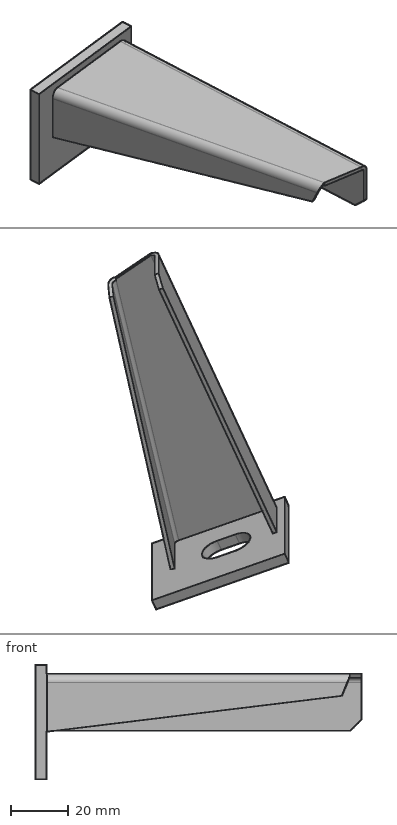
import cadquery as cq
import math

PLATE_THICKNESS = 4.0
PLATE_WIDTH = 50.0
PLATE_HEIGHT = 40.0
SLOT_LENGTH = 18.2
SLOT_HEIGHT = 11.4
SLOT_OFFSET_Y = 3.0

ARM_END_X = 114.0
SHEET = 1.5
BEND_RADIUS = 3.0
TOP_INSET = 3.1
TOP_Z = PLATE_HEIGHT / 2 - TOP_INSET
BACK_INSET = 3.0
BACK_Y = PLATE_WIDTH / 2 - BACK_INSET
BACK_FLANGE_HEIGHT = 20.0
BACK_CHAMFER = 4.0
ROOT_WIDTH = 40.0
TAPER_ANGLE = 10.25
WEB_TIP_X = 109.8
TAPER_ROOT_HEIGHT = 20.3
TAPER_TIP_HEIGHT = 7.8
TAPER_TIP_SETBACK = 3.2

TAPER = math.radians(TAPER_ANGLE)
FRONT_Y = BACK_Y - ROOT_WIDTH

ALONG = cq.Vector(math.cos(TAPER), math.sin(TAPER), 0)
INWARD = cq.Vector(-math.sin(TAPER), math.cos(TAPER), 0)
TAPER_ORIGIN = cq.Vector(PLATE_THICKNESS, FRONT_Y, TOP_Z) + ALONG * (SHEET * math.tan(TAPER))
TAPER_START = cq.Plane(origin=TAPER_ORIGIN, xDir=INWARD, normal=ALONG)
TAPER_FACE = cq.Plane(origin=TAPER_ORIGIN, xDir=ALONG, normal=INWARD * -1)


def make_plate():
    """Rectangular plate with a horizontal through slot."""
    plate = cq.Workplane("YZ").rect(PLATE_WIDTH, PLATE_HEIGHT).extrude(PLATE_THICKNESS)
    slot = (
        cq.Workplane("YZ")
        .center(SLOT_OFFSET_Y, 0)
        .slot2D(SLOT_LENGTH, SLOT_HEIGHT)
        .extrude(PLATE_THICKNESS)
    )
    return plate.cut(slot)


def bent_flange(plane, height, length):
    """Flange with its bend: outer face on local x = 0, sheet top on local y = 0, local x inward."""
    inner_radius = BEND_RADIUS - SHEET
    outer_mid = BEND_RADIUS * (1 - math.sqrt(0.5))
    inner_mid = BEND_RADIUS - inner_radius * math.sqrt(0.5)
    return (
        cq.Workplane(plane)
        .moveTo(0, -height)
        .lineTo(0, -BEND_RADIUS)
        .threePointArc((outer_mid, -outer_mid), (BEND_RADIUS, 0))
        .lineTo(BEND_RADIUS, -SHEET)
        .threePointArc((inner_mid, -inner_mid), (SHEET, -BEND_RADIUS))
        .lineTo(SHEET, -height)
        .close()
        .extrude(length)
    )


def web_front_y(x):
    """Y of the line where the web runs into the bend of the tapered flange."""
    return FRONT_Y + (x - PLATE_THICKNESS) * math.tan(TAPER) + BEND_RADIUS / math.cos(TAPER)


def make_web():
    """Flat top of the arm between the two bends, with a slanted free end."""
    back_bend_y = BACK_Y - BEND_RADIUS
    return (
        cq.Workplane("XY", origin=(0, 0, TOP_Z))
        .polyline([
            (PLATE_THICKNESS, back_bend_y),
            (ARM_END_X, back_bend_y),
            (WEB_TIP_X, web_front_y(WEB_TIP_X)),
            (PLATE_THICKNESS, web_front_y(PLATE_THICKNESS)),
        ])
        .close()
        .extrude(-SHEET)
    )


def make_back_flange():
    """Straight flange with a chamfered lower corner at its free end."""
    start = cq.Plane(origin=(ARM_END_X, BACK_Y, TOP_Z), xDir=(0, -1, 0), normal=(-1, 0, 0))
    flange = bent_flange(start, BACK_FLANGE_HEIGHT, ARM_END_X - PLATE_THICKNESS)
    bottom_z = TOP_Z - BACK_FLANGE_HEIGHT
    corner = (
        cq.Workplane("XZ", origin=(0, BACK_Y, 0))
        .polyline([
            (ARM_END_X, bottom_z),
            (ARM_END_X - BACK_CHAMFER, bottom_z),
            (ARM_END_X, bottom_z + BACK_CHAMFER),
        ])
        .close()
        .extrude(SHEET)
    )
    return flange.cut(corner)


def make_tapered_flange():
    """Angled flange that narrows towards its free end."""
    web_tip = cq.Vector(WEB_TIP_X, web_front_y(WEB_TIP_X), TOP_Z)
    length = (web_tip - TAPER_ORIGIN).dot(ALONG)
    outline = (
        cq.Workplane(TAPER_FACE)
        .polyline([
            (0, 0),
            (length, 0),
            (length - TAPER_TIP_SETBACK, -TAPER_TIP_HEIGHT),
            (0, -TAPER_ROOT_HEIGHT),
        ])
        .close()
        .extrude(-BEND_RADIUS)
    )
    return bent_flange(TAPER_START, TAPER_ROOT_HEIGHT, length).intersect(outline)


def make_arm(plate):
    """Web and both flanges as one sheet; the angled bend is trimmed flush with the plate."""
    folded_sheet = make_web().union(make_back_flange()).union(make_tapered_flange())
    return folded_sheet.cut(plate)


plate = make_plate()
arm = make_arm(plate)
result = cq.Compound.makeCompound([plate.val(), arm.val()])